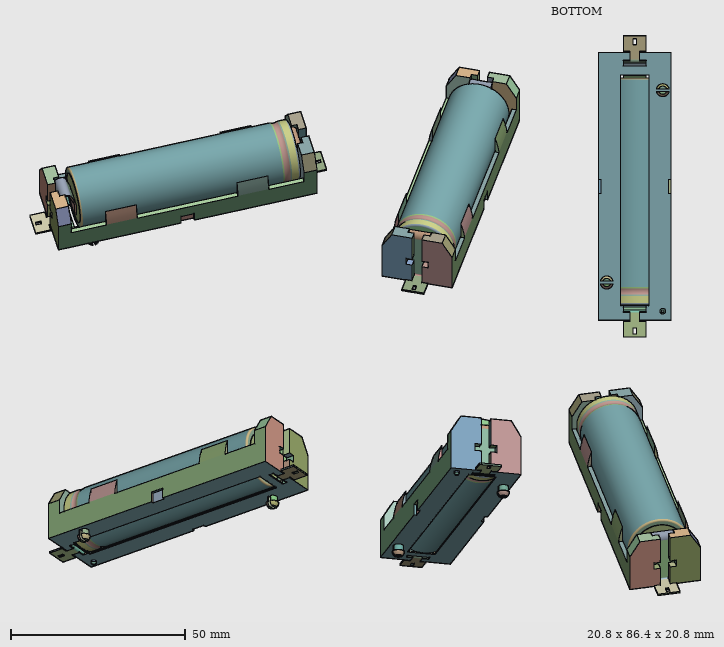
import cadquery as cq
import math


overall_length = 86.4

housing_width = 20.8
housing_length = 76.85
housing_height = 16.2
corner_chamfer_x = 2.9
corner_chamfer_z = 4.75
side_wall_height = 7.1
channel_radius = 9.25
channel_axis_z = 8.7
channel_length = 69.15
floor_thickness = 0.35

window_width = 8.1
window_start_y = -31.9
window_end_y = 34.2

clip_length = 9.2
clip_center_y = 19.5
clip_tip_z = 12.1
clip_bulge = 0.2

notch_length = 4.0
notch_height = 3.2
notch_depth = 0.8

slot_width = 2.85
recess_width = 6.6
recess_back_y = 36.1
cross_hole_bottom_z = 6.05
cross_hole_top_z = 8.1

peg_x = 8.0
peg_y = 27.6
peg_diameter = 2.9
peg_head_diameter = 3.7
peg_head_top = 1.8
peg_head_bulge = 0.1
peg_length = 3.1
peg_tip_diameter = 2.3
peg_split = 0.8
polarity_peg_diameter = 1.6
polarity_peg_y = 35.8
polarity_peg_shoulder = 0.4
polarity_peg_length = 1.0
polarity_peg_tip_diameter = 0.8

cell_radius = 9.0
cell_axis_x = -0.24
cell_axis_z = 8.65
cell_negative_y = -31.1
cell_positive_y = 34.1
cell_edge_radius = 0.5
groove_center_y = 30.25
groove_half_width = 1.3
groove_lip = 0.4
groove_lip_drop = 0.1
groove_depth = 0.3
button_diameter = 9.9
negative_recess_diameter = 14.6
negative_recess_depth = 0.2

sheet = 0.5
tab_root_y = 38.7
tab_hole_width = 0.9
tab_hole_length = 1.6
tab_hole_y = 41.5
plate_back_y = 36.0
foot_bend_radius = 0.35
arch_radius = 1.7
arch_axis_z = 13.8
leaf_angle = math.radians(19.5)
leaf_toe_radius = 5.3
leaf_end_z = 5.2

half_width = housing_width / 2
channel_end = channel_length / 2
end_wall = housing_length / 2 - channel_end


def block(x0, x1, y0, y1, z0, z1):
    """Box between opposite corners."""
    return cq.Workplane("XY").box(x1 - x0, y1 - y0, z1 - z0, centered=False).translate((x0, y0, z0))


def extrude_along_y(outline, length, center_y=0):
    """Extrude an outline drawn in the XZ plane, centred on center_y."""
    return outline.extrude(length / 2, both=True).translate((0, center_y, 0))


def housing_shell():
    shoulder_x = half_width - corner_chamfer_x
    shoulder_z = housing_height - corner_chamfer_z
    outline = (
        cq.Workplane("XZ")
        .moveTo(-half_width, 0)
        .lineTo(half_width, 0)
        .lineTo(half_width, shoulder_z)
        .lineTo(shoulder_x, housing_height)
        .lineTo(-shoulder_x, housing_height)
        .lineTo(-half_width, shoulder_z)
        .close()
    )
    above_side_walls = block(
        -half_width, half_width, -channel_end, channel_end, side_wall_height, housing_height
    )
    return extrude_along_y(outline, housing_length).cut(above_side_walls)


def clip(side, center_y):
    """Clip that tapers from the side wall to a thin tip; side is +1 or -1 along X."""
    middle_x = (half_width + channel_radius) / 2 + clip_bulge
    middle_z = (side_wall_height + clip_tip_z) / 2
    outline = (
        cq.Workplane("XZ")
        .moveTo(side * channel_radius, side_wall_height)
        .lineTo(side * half_width, side_wall_height)
        .threePointArc((side * middle_x, middle_z), (side * channel_radius, clip_tip_z))
        .close()
    )
    return extrude_along_y(outline, clip_length, center_y)


def channel():
    """U-shaped trough: upright sides and a round floor, flattened at its lowest part."""
    outline = (
        cq.Workplane("XZ")
        .moveTo(-channel_radius, housing_height)
        .lineTo(-channel_radius, channel_axis_z)
        .threePointArc((0, channel_axis_z - channel_radius), (channel_radius, channel_axis_z))
        .lineTo(channel_radius, housing_height)
        .close()
    )
    trough = extrude_along_y(outline, channel_length)
    floor = block(
        -channel_radius, channel_radius, -channel_end, channel_end,
        channel_axis_z - channel_radius, floor_thickness,
    )
    return trough.cut(floor)


def floor_window():
    return block(-window_width / 2, window_width / 2, window_start_y, window_end_y, 0, channel_axis_z)


def side_notch(side):
    center_x = side * (half_width - notch_depth / 2)
    return cq.Workplane("XY").box(notch_depth, notch_length, notch_height).translate(
        (center_x, 0, notch_height / 2)
    )


def contact_opening():
    """Slot, wider inner recess and cross hole in the +Y end wall."""
    outer_y = channel_end + end_wall
    slot = block(-slot_width / 2, slot_width / 2, channel_end, outer_y, 0, housing_height)
    recess = block(-recess_width / 2, recess_width / 2, channel_end, recess_back_y, 0, housing_height)
    cross_hole = block(
        -recess_width / 2, recess_width / 2, channel_end, outer_y, cross_hole_bottom_z, cross_hole_top_z
    )
    return slot.union(recess).union(cross_hole)


def snap_peg(x, y):
    """Split peg with a barbed head that tapers to a flat tip."""
    bulge_x = (peg_head_diameter + peg_tip_diameter) / 4 + peg_head_bulge
    bulge_z = -(peg_head_top + peg_length) / 2 - peg_head_bulge
    peg = (
        cq.Workplane("XZ")
        .lineTo(peg_diameter / 2, 0)
        .lineTo(peg_diameter / 2, -peg_head_top)
        .lineTo(peg_head_diameter / 2, -peg_head_top)
        .threePointArc((bulge_x, bulge_z), (peg_tip_diameter / 2, -peg_length))
        .lineTo(0, -peg_length)
        .close()
        .revolve(360, (0, 0, 0), (0, 1, 0))
    )
    split = block(
        -peg_head_diameter, peg_head_diameter, -peg_split / 2, peg_split / 2, -peg_length, 0
    )
    return peg.cut(split).translate((x, y, 0))


def polarity_peg():
    return (
        cq.Workplane("XZ")
        .lineTo(polarity_peg_diameter / 2, 0)
        .lineTo(polarity_peg_diameter / 2, -polarity_peg_shoulder)
        .lineTo(polarity_peg_tip_diameter / 2, -polarity_peg_length)
        .lineTo(0, -polarity_peg_length)
        .close()
        .revolve(360, (0, 0, 0), (0, 1, 0))
        .translate((peg_x, polarity_peg_y, 0))
    )


def make_housing():
    housing = housing_shell().cut(channel()).cut(floor_window())
    for side in (-1, 1):
        housing = housing.cut(side_notch(side))
        for center_y in (-clip_center_y, clip_center_y):
            housing = housing.union(clip(side, center_y))
    opening = contact_opening()
    housing = housing.cut(opening).cut(opening.mirror("XZ"))
    for peg in (snap_peg(-peg_x, peg_y), snap_peg(peg_x, -peg_y), polarity_peg()):
        housing = housing.union(peg)
    return housing


def make_cell():
    """Turned about its axis: rounded ends, a recessed base, a groove and a button."""
    recess_floor_y = cell_negative_y + negative_recess_depth
    lip_radius = cell_radius - groove_lip_drop
    groove_start = groove_center_y - groove_half_width
    groove_end = groove_center_y + groove_half_width
    body = (
        cq.Workplane("XY")
        .moveTo(0, recess_floor_y)
        .lineTo(negative_recess_diameter / 2, recess_floor_y)
        .lineTo(negative_recess_diameter / 2, cell_negative_y)
        .lineTo(cell_radius - cell_edge_radius, cell_negative_y)
        .radiusArc((cell_radius, cell_negative_y + cell_edge_radius), -cell_edge_radius)
        .lineTo(cell_radius, groove_start)
        .lineTo(lip_radius, groove_start + groove_lip)
        .threePointArc(
            (cell_radius - groove_depth, groove_center_y), (lip_radius, groove_end - groove_lip)
        )
        .lineTo(cell_radius, groove_end)
        .lineTo(cell_radius, cell_positive_y - cell_edge_radius)
        .radiusArc((cell_radius - cell_edge_radius, cell_positive_y), -cell_edge_radius)
        .lineTo(button_diameter / 2, cell_positive_y)
        .lineTo(button_diameter / 2, channel_end)
        .lineTo(0, channel_end)
        .close()
        .revolve(360, (0, 0, 0), (0, 1, 0))
    )
    return body.translate((cell_axis_x, 0, cell_axis_z))


plate_y = plate_back_y - sheet / 2
arch_middle_radius = arch_radius - sheet / 2
arch_axis_y = plate_y - arch_middle_radius


def contact_path():
    """From the tab tip, up the end wall and to the top of the arch."""
    foot_radius = foot_bend_radius + sheet / 2
    return (
        cq.Workplane("YZ")
        .moveTo(overall_length / 2, sheet / 2)
        .lineTo(plate_y + foot_radius, sheet / 2)
        .tangentArcPoint((plate_y, sheet / 2 + foot_radius), relative=False)
        .lineTo(plate_y, arch_axis_z)
        .tangentArcPoint((arch_axis_y, arch_axis_z + arch_middle_radius), relative=False)
    )


def add_spring_leaf(path):
    """Continue over the arch, down a slope and into a toe that lies flat on the negative end."""
    toe_y = sheet / 2 - cell_negative_y
    slope_start_y = arch_axis_y - arch_middle_radius * math.cos(leaf_angle)
    slope_start_z = arch_axis_z + arch_middle_radius * math.sin(leaf_angle)
    slope_end_y = toe_y + leaf_toe_radius * (1 - math.cos(leaf_angle))
    slope_end_z = slope_start_z - (slope_start_y - slope_end_y) / math.tan(leaf_angle)
    toe_top_z = slope_end_z - leaf_toe_radius * math.sin(leaf_angle)
    return (
        path.tangentArcPoint((slope_start_y, slope_start_z), relative=False)
        .lineTo(slope_end_y, slope_end_z)
        .tangentArcPoint((toe_y, toe_top_z), relative=False)
        .lineTo(toe_y, leaf_end_z)
    )


def add_short_lip(path):
    """Continue level from the top of the arch to the positive end of the cell."""
    return path.lineTo(cell_positive_y, arch_axis_z + arch_middle_radius)


def bend_contact(path):
    """Sheet strip along the path, narrowed where it passes the end wall, with a hole in its tab."""
    strip = (
        cq.Workplane("XZ", origin=(0, overall_length / 2, sheet / 2))
        .rect(recess_width, sheet)
        .sweep(path)
    )
    for side in (-1, 1):
        inner_x, outer_x = sorted((side * slot_width / 2, side * recess_width / 2))
        strip = strip.cut(block(inner_x, outer_x, plate_back_y, tab_root_y, 0, arch_axis_z))
    hole = cq.Workplane("XY").box(tab_hole_width, tab_hole_length, 2 * sheet)
    return strip.cut(hole.translate((0, tab_hole_y, sheet / 2)))


housing = make_housing()
cell = make_cell()
positive_contact = bend_contact(add_short_lip(contact_path()))
negative_contact = bend_contact(add_spring_leaf(contact_path())).mirror("XZ")

bodies = (housing, cell, positive_contact, negative_contact)
result = cq.Compound.makeCompound([body.solids().val() for body in bodies])